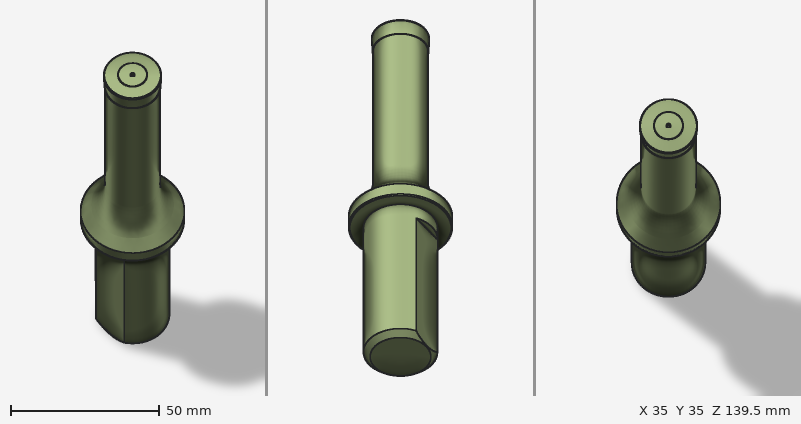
import cadquery as cq
import math

shank_radius = 25.0 / 2
shank_chamfer_height = 2.1
shank_chamfer_width = 2.2
flat_offset = 10.5
flat_top_z = 51.2

flange_radius = 35.0 / 2
flange_bottom_z = 56.2
flange_edge_chamfer = 0.4

neck_radius = 18.5 / 2
blend_radius = 15.9
blend_top_z = 75.9
cone_angle = math.radians(45)

head_bottom_z = 133.1
head_top_z = 139.5
head_bottom_radius = 19.0 / 2
head_rim_radius = 19.5 / 2
rim_chamfer_height = 0.5
rim_chamfer_width = 0.3
boss_radius = 9.9 / 2
boss_chamfer = 0.1
boss_slope = math.radians(1.2)
face_slope = math.radians(2.5)
center_hole_diameter = 1.4
center_hole_depth = 1.4


def blend_point(angle):
    """Radius and height on the blend arc, turned by angle from its tangent with the neck."""
    radius = neck_radius + blend_radius * (1 - math.cos(angle))
    height = blend_top_z - blend_radius * math.sin(angle)
    return radius, height


def make_holder():
    """Shank, flange and neck, revolved about Z, with the flat cut into the shank."""
    blend_end_radius, blend_end_z = blend_point(cone_angle)
    cone_bottom_z = blend_end_z - (flange_radius - blend_end_radius) / math.tan(cone_angle)
    holder = (
        cq.Workplane("XZ")
        .lineTo(shank_radius - shank_chamfer_width, 0)
        .lineTo(shank_radius, shank_chamfer_height)
        .lineTo(shank_radius, flange_bottom_z)
        .lineTo(flange_radius - flange_edge_chamfer, flange_bottom_z)
        .lineTo(flange_radius, flange_bottom_z + flange_edge_chamfer)
        .lineTo(flange_radius, cone_bottom_z)
        .lineTo(blend_end_radius, blend_end_z)
        .threePointArc(blend_point(cone_angle / 2), (neck_radius, blend_top_z))
        .lineTo(neck_radius, head_bottom_z)
        .lineTo(0, head_bottom_z)
        .close()
        .revolve(360, (0, 0), (0, 1))
    )
    flat_cutter = cq.Workplane("XY").box(
        2 * shank_radius, shank_radius, flat_top_z, centered=(True, False, False)
    ).translate((0, -flat_offset - shank_radius, 0))
    return holder.cut(flat_cutter)


def make_head():
    """Head that widens to a chamfered rim, with two shallow cones on top and a small blind hole."""
    boss_top_radius = boss_radius - boss_chamfer
    face_radius = head_rim_radius - rim_chamfer_width
    center_hole_radius = center_hole_diameter / 2
    boss_edge_z = head_top_z - (boss_top_radius - center_hole_radius) * math.tan(boss_slope)
    face_inner_z = boss_edge_z - boss_chamfer
    face_outer_z = face_inner_z - (face_radius - boss_radius) * math.tan(face_slope)
    return (
        cq.Workplane("XZ")
        .moveTo(0, head_bottom_z)
        .lineTo(head_bottom_radius, head_bottom_z)
        .lineTo(head_rim_radius, face_outer_z - rim_chamfer_height)
        .lineTo(face_radius, face_outer_z)
        .lineTo(boss_radius, face_inner_z)
        .lineTo(boss_top_radius, boss_edge_z)
        .lineTo(center_hole_radius, head_top_z)
        .lineTo(center_hole_radius, head_top_z - center_hole_depth)
        .lineTo(0, head_top_z - center_hole_depth)
        .close()
        .revolve(360, (0, 0), (0, 1))
    )


holder = make_holder()
head = make_head()
result = cq.Compound.makeCompound([holder.val(), head.val()])